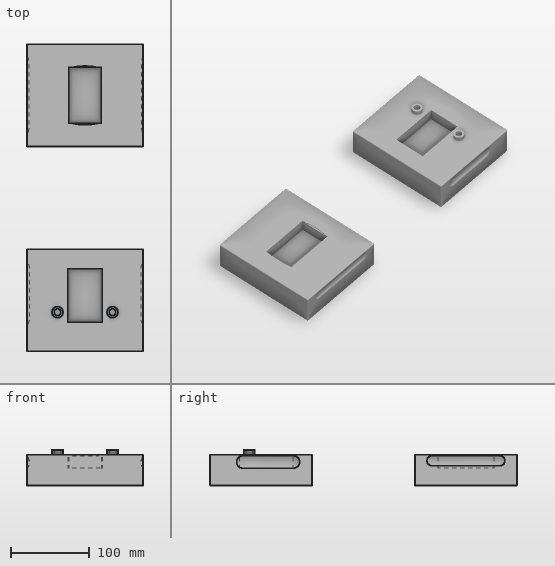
import cadquery as cq
import math

overall_length = 390.0
block_x = 148.0
block_y = 130.0
block_z = 39.5
edge_fillet = 1.35
block_offset_y = (overall_length - block_y) / 2

front_grip_length = 80.0
front_grip_height = 15.5
front_grip_diameter = 23.0
front_grip_center_y = 9.0
rear_grip_length = 99.0
rear_grip_height = 12.5
rear_grip_diameter = 20.0
rear_grip_center_y = 0.0
grip_top_gap = 1.5

front_pocket_x = 44.0
front_pocket_y = 68.0
front_pocket_center_y = 6.2
pocket_depth = 16.8
stud_diameter = 14.0
stud_hole_diameter = 8.5
stud_height = 6.0
stud_spacing = 70.0
stud_y = -15.2

rear_pocket_x = 41.7
rear_pocket_y = 71.0
relief_width = 33.0
relief_bulge = 2.0
relief_depth = 1.0


def make_block():
    block = cq.Workplane("XY").box(block_x, block_y, block_z, centered=(True, True, False))
    return block.edges().fillet(edge_fillet)


def make_pocket(size_x, size_y, center_y):
    pocket = cq.Workplane("XY").box(size_x, size_y, pocket_depth, centered=(True, True, False))
    return pocket.translate((0, center_y, block_z - pocket_depth))


def cut_grips(block, length, height, diameter, center_y):
    """Cut a cylindrical trough with spherical ends into each X side."""
    radius = diameter / 2
    straight = length - height
    axis_x = block_x / 2 + math.sqrt(radius**2 - (height / 2) ** 2)
    center_z = block_z - grip_top_gap - height / 2
    for side in (-1, 1):
        trough = cq.Workplane("XZ").circle(radius).extrude(straight / 2, both=True)
        for end in (-1, 1):
            ball = cq.Workplane("XY").sphere(radius).translate((0, end * straight / 2, 0))
            trough = trough.union(ball)
        block = block.cut(trough.translate((side * axis_x, center_y, center_z)))
    return block


def add_studs(block):
    places = [(-stud_spacing / 2, stud_y), (stud_spacing / 2, stud_y)]
    studs = cq.Workplane("XY").workplane(offset=block_z).pushPoints(places)
    studs = studs.circle(stud_diameter / 2).circle(stud_hole_diameter / 2).extrude(stud_height)
    return block.union(studs)


def make_relief(end):
    """Shallow arc-shaped recess beside one end wall of the rear pocket."""
    wall_y = end * rear_pocket_y / 2
    return (
        cq.Workplane("XY")
        .workplane(offset=block_z - relief_depth)
        .moveTo(-relief_width / 2, wall_y)
        .threePointArc((0, wall_y + end * relief_bulge), (relief_width / 2, wall_y))
        .close()
        .extrude(relief_depth)
    )


def make_front_block():
    block = cut_grips(make_block(), front_grip_length, front_grip_height, front_grip_diameter, front_grip_center_y)
    block = block.cut(make_pocket(front_pocket_x, front_pocket_y, front_pocket_center_y))
    return add_studs(block).translate((0, -block_offset_y, 0))


def make_rear_block():
    block = cut_grips(make_block(), rear_grip_length, rear_grip_height, rear_grip_diameter, rear_grip_center_y)
    block = block.cut(make_pocket(rear_pocket_x, rear_pocket_y, 0))
    for end in (-1, 1):
        block = block.cut(make_relief(end))
    return block.translate((0, block_offset_y, 0))


front_block = make_front_block()
rear_block = make_rear_block()
result = cq.Compound.makeCompound([front_block.val(), rear_block.val()])